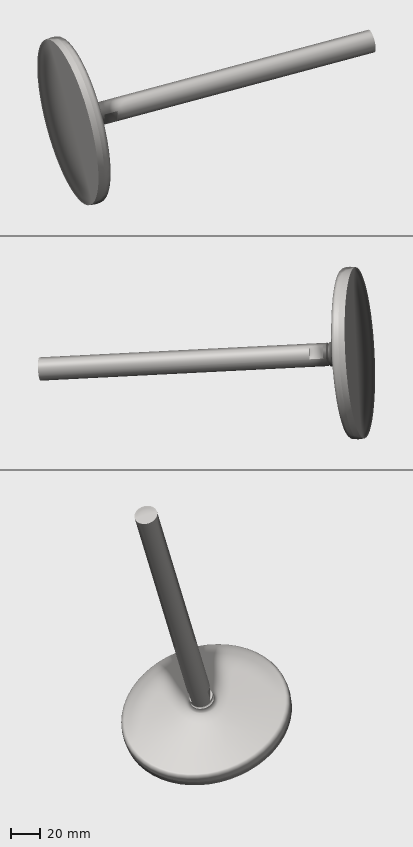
import cadquery as cq
import math

total_length = 222.0

rim_diameter = 118.0
underside_diameter = 117.2
shoulder_diameter = 117.7
rim_height = 4.2
shoulder_height = 6.7
shoulder_rounding = 3.0
cone_angle = 10.2
neck_radius = 8.2
neck_height = 20.6

stem_diameter = 16.0
stem_tip_radius = 6.5
stem_chamfer_height = 22.2
flat_start = 24.2
flat_end = 33.7
width_across_flats = 12.9


def make_base():
    """Revolved foot with a tapered rim, a conical top and a blended neck."""
    slope = math.radians(cone_angle)
    sin_slope = math.sin(slope)
    cos_slope = math.cos(slope)

    shoulder_radius = shoulder_diameter / 2
    rounding_center = shoulder_radius - shoulder_rounding
    mid_angle = (math.pi / 2 - slope) / 2
    rounding_middle = (
        rounding_center + shoulder_rounding * math.cos(mid_angle),
        shoulder_height + shoulder_rounding * math.sin(mid_angle),
    )
    cone_outer = (
        rounding_center + shoulder_rounding * sin_slope,
        shoulder_height + shoulder_rounding * cos_slope,
    )

    tan_slope = math.tan(slope)
    cone_height_at_neck = cone_outer[1] + (cone_outer[0] - neck_radius) * tan_slope
    neck_fillet = (neck_height - cone_height_at_neck) / (1 / cos_slope - tan_slope)
    fillet_center_radius = neck_radius + neck_fillet
    cone_inner = (
        fillet_center_radius - neck_fillet * sin_slope,
        neck_height - neck_fillet * cos_slope,
    )
    fillet_middle = (
        fillet_center_radius - neck_fillet * math.cos(mid_angle),
        neck_height - neck_fillet * math.sin(mid_angle),
    )

    return (
        cq.Workplane("XY")
        .lineTo(underside_diameter / 2, 0)
        .lineTo(rim_diameter / 2, rim_height)
        .lineTo(shoulder_radius, shoulder_height)
        .threePointArc(rounding_middle, cone_outer)
        .lineTo(*cone_inner)
        .threePointArc(fillet_middle, (neck_radius, neck_height))
        .lineTo(0, neck_height)
        .close()
        .revolve(360, (0, 0, 0), (0, 1, 0))
    )


def make_stem():
    """Round rod with a tapered tip resting on the base and two wrench flats."""
    stem_radius = stem_diameter / 2
    stem = (
        cq.Workplane("XY")
        .moveTo(0, neck_height)
        .lineTo(stem_tip_radius, neck_height)
        .lineTo(stem_radius, stem_chamfer_height)
        .lineTo(stem_radius, total_length)
        .lineTo(0, total_length)
        .close()
        .revolve(360, (0, 0, 0), (0, 1, 0))
    )
    flat_length = flat_end - flat_start
    flat_middle = (flat_start + flat_end) / 2
    for side in (-1, 1):
        cutter_x = side * (width_across_flats + stem_diameter) / 2
        cutter = cq.Workplane("XY").box(stem_diameter, flat_length, stem_diameter)
        stem = stem.cut(cutter.translate((cutter_x, flat_middle, 0)))
    return stem


base = make_base()
stem = make_stem()
result = cq.Compound.makeCompound([base.val(), stem.val()])